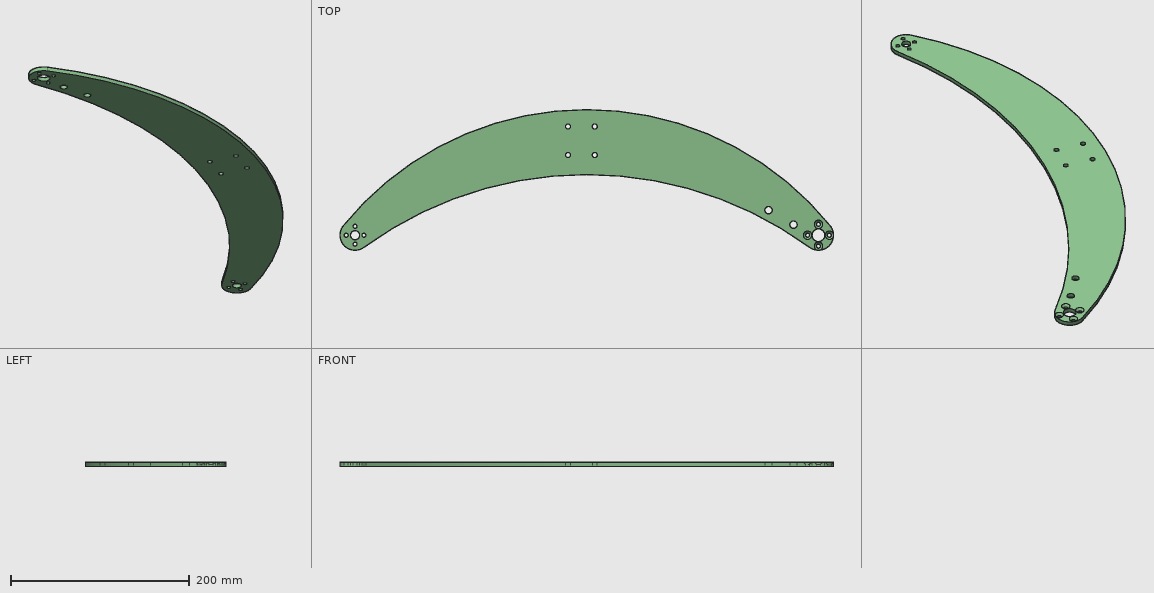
import cadquery as cq
import math

thickness = 5.0
end_spacing = 520.0
end_radius = 17.0
outer_crest = 141.05
inner_crest = 67.9

left_bore_diameter = 10.0
left_screw_diameter = 4.3
left_screw_circle_radius = 10.0

right_bore_diameter = 14.0
right_screw_diameter = 4.3
right_screw_circle_radius = 12.25
countersink_diameter = 9.4
countersink_angle = 90.0

side_hole_diameter = 8.0
side_hole_centers = [(204.0, 28.1), (232.0, 11.9)]

mount_hole_diameter = 5.5
mount_spacing_x = 30.0
mount_spacing_y = 32.0
mount_center = (-6.0, 106.0)

end_x = end_spacing / 2
left_end = (-end_x, 0.0)
right_end = (end_x, 0.0)


def tangent_arc_radius(crest, end_offset):
    """Radius of an arc with its crest at (0, crest), whose center lies that radius plus
    end_offset from the center of each round end."""
    return (end_x**2 + crest**2 - end_offset**2) / (2 * (crest + end_offset))


def tangent_point(crest, radius):
    """Point where the arc meets the round right end, on the line through both centers."""
    center_y = crest - radius
    distance = math.hypot(end_x, center_y)
    return (end_x * radius / distance, center_y - center_y * radius / distance)


def mirrored(point):
    return (-point[0], point[1])


def screw_circle(center, radius):
    """Four points around a center, on its X and Y directions."""
    x, y = center
    return [(x + radius, y), (x, y + radius), (x - radius, y), (x, y - radius)]


def make_plate():
    outer_radius = tangent_arc_radius(outer_crest, -end_radius)
    inner_radius = tangent_arc_radius(inner_crest, end_radius)
    outer_end = tangent_point(outer_crest, outer_radius)
    inner_end = tangent_point(inner_crest, inner_radius)
    return (
        cq.Workplane("XY")
        .moveTo(*mirrored(outer_end))
        .threePointArc((0, outer_crest), outer_end)
        .threePointArc((end_x, -end_radius), inner_end)
        .threePointArc((0, inner_crest), mirrored(inner_end))
        .threePointArc((-end_x, -end_radius), mirrored(outer_end))
        .close()
        .extrude(thickness)
    )


def drill(plate, centers, diameter):
    """Cut round holes through the plate."""
    cutters = cq.Workplane("XY").pushPoints(centers).circle(diameter / 2).extrude(thickness)
    return plate.cut(cutters)


def add_left_end_holes(plate):
    plate = drill(plate, [left_end], left_bore_diameter)
    screws = screw_circle(left_end, left_screw_circle_radius)
    return drill(plate, screws, left_screw_diameter)


def add_right_end_holes(plate):
    plate = drill(plate, [right_end], right_bore_diameter)
    screws = screw_circle(right_end, right_screw_circle_radius)
    return (
        plate.faces(">Z")
        .workplane(origin=(0, 0, thickness))
        .pushPoints(screws)
        .cskHole(right_screw_diameter, countersink_diameter, countersink_angle)
    )


def add_mount_holes(plate):
    center_x, center_y = mount_center
    centers = [
        (center_x + side_x * mount_spacing_x / 2, center_y + side_y * mount_spacing_y / 2)
        for side_x in (-1, 1)
        for side_y in (-1, 1)
    ]
    return drill(plate, centers, mount_hole_diameter)


plate = make_plate()
plate = add_left_end_holes(plate)
plate = add_right_end_holes(plate)
plate = add_mount_holes(plate)
result = drill(plate, side_hole_centers, side_hole_diameter)